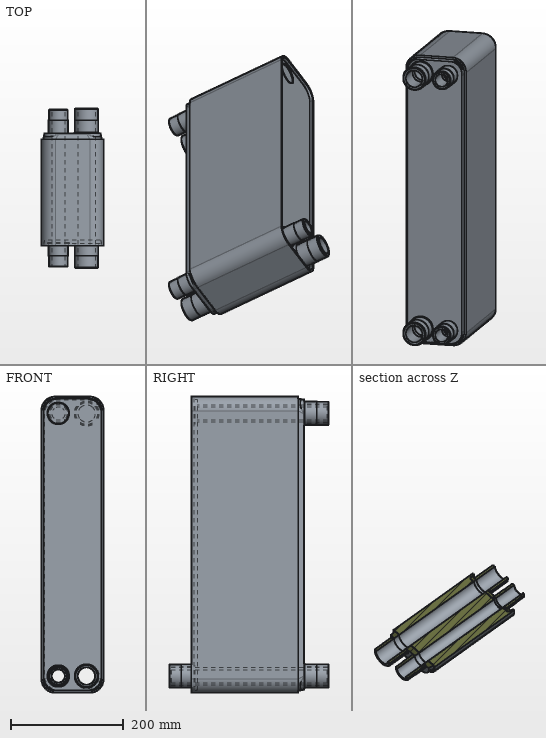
import cadquery as cq


PACK_WIDTH = 111.0
PACK_HEIGHT = 526.0
PACK_DEPTH = 189.5
PACK_CORNER_RADIUS = 25.0

SHOULDER_DEPTH = 10.5
SHOULDER_WIDE_INSET = 3.5
SHOULDER_TAPER = 1.85
SHOULDER_WIDE_RADIUS = PACK_CORNER_RADIUS - SHOULDER_WIDE_INSET
SHOULDER_NARROW_RADIUS = 25.0

FRONT_FACE = 4.5
REAR_FACE = PACK_DEPTH + SHOULDER_DEPTH
REAR_PLATE_THICKNESS = 7.0
REAR_PLATE_INSET = 5.0
REAR_PLATE_RADIUS = PACK_CORNER_RADIUS - REAR_PLATE_INSET

SMALL_PORT_X = -25.0
LARGE_PORT_X = 24.5
PORT_Z = 233.0

STAMP_DEPTH = 1.5
STAMP_DRAFT = 1.0
DIMPLE_RADIUS = 19.5
BOSS_RADIUS = 22.0

SMALL_BORE_RADIUS = 11.5
SMALL_BASE_RADIUS = 17.5
SMALL_STEP = 0.5
SMALL_END_RADIUS = SMALL_BASE_RADIUS - SMALL_STEP
SMALL_END_LENGTH = 19.5
LARGE_BORE_RADIUS = 15.0
LARGE_BASE_RADIUS = 21.0
LARGE_STEP = 0.1
LARGE_END_RADIUS = LARGE_BASE_RADIUS - LARGE_STEP
LARGE_END_LENGTH = 21.5
PIPE_CHAMFER = 1.5
PIPE_BASE_LENGTH = 22.5

FORWARD = -1
REARWARD = 1


def outline(inset, radius):
    """Rounded rectangle inset from the outline of the pack."""
    sketch = cq.Sketch().rect(PACK_WIDTH - 2 * inset, PACK_HEIGHT - 2 * inset)
    return sketch.vertices().fillet(radius)


def facing_rear(y):
    """Workplane at the given Y, with its normal toward the rear."""
    return cq.Workplane(cq.Plane(origin=(0, y, 0), xDir=(1, 0, 0), normal=(0, 1, 0)))


def slab(start_y, thickness, inset, radius):
    """Flat rounded plate that reaches rearward from start_y."""
    return facing_rear(start_y).placeSketch(outline(inset, radius)).extrude(thickness)


def shoulder(start_y):
    """Tapered shape that narrows toward the rear, cut back the most at its corners."""
    wide = outline(SHOULDER_WIDE_INSET, SHOULDER_WIDE_RADIUS)
    narrow = outline(SHOULDER_WIDE_INSET + SHOULDER_TAPER, SHOULDER_NARROW_RADIUS)
    narrow = narrow.moved(cq.Location(cq.Vector(0, 0, SHOULDER_DEPTH)))
    return facing_rear(start_y).placeSketch(wide, narrow).loft(ruled=True)


def cylinder(x, z, radius, start_y, length, direction=REARWARD):
    """Cylinder along Y."""
    start = cq.Vector(x, start_y, z)
    return cq.Workplane(cq.Solid.makeCylinder(radius, length, start, cq.Vector(0, direction, 0)))


def stamping(x, z, radius, start_y):
    """Shallow cone that narrows toward the rear."""
    start = cq.Vector(x, start_y, z)
    cone = cq.Solid.makeCone(radius, radius - STAMP_DRAFT, STAMP_DEPTH, start, cq.Vector(0, 1, 0))
    return cq.Workplane(cone)


def cut_bores(body, heights):
    """Cut the small bore at -X and the large bore at +X right through, at each given height."""
    start_y = -PIPE_BASE_LENGTH
    length = REAR_FACE + 2 * PIPE_BASE_LENGTH
    for z in heights:
        body = body.cut(cylinder(SMALL_PORT_X, z, SMALL_BORE_RADIUS, start_y, length))
        body = body.cut(cylinder(LARGE_PORT_X, z, LARGE_BORE_RADIUS, start_y, length))
    return body


def make_plate_pack():
    """Block of stacked plates, with a recess for the front cover."""
    block = slab(0, PACK_DEPTH, 0, PACK_CORNER_RADIUS).cut(shoulder(0))
    return cut_bores(block, (-PORT_Z, PORT_Z))


def make_front_cover():
    """Plate at the bottom of the front recess, dimpled at the small ports and closed at the top."""
    open_recess = slab(0, FRONT_FACE, 0, PACK_CORNER_RADIUS)
    cover = shoulder(0).cut(open_recess)
    for z in (-PORT_Z, PORT_Z):
        cover = cover.cut(stamping(SMALL_PORT_X, z, DIMPLE_RADIUS, FRONT_FACE))
    return cut_bores(cover, (-PORT_Z,))


def make_rear_cover():
    """Tapered shoulder joined to a flat plate, raised around the large ports."""
    plate_y = REAR_FACE - REAR_PLATE_THICKNESS
    plate = slab(plate_y, REAR_PLATE_THICKNESS, REAR_PLATE_INSET, REAR_PLATE_RADIUS)
    cover = shoulder(PACK_DEPTH).union(plate)
    for z in (-PORT_Z, PORT_Z):
        cover = cover.union(stamping(LARGE_PORT_X, z, BOSS_RADIUS, REAR_FACE))
    return cut_bores(cover, (-PORT_Z, PORT_Z))


def make_pipe(x, z, seat_y, step_y, direction, base_radius, end_radius, end_length, bore_radius):
    """Connection pipe with a step down to its chamfered end."""
    base_length = abs(step_y - seat_y)
    base = cylinder(x, z, base_radius, seat_y, base_length, direction)
    end = cylinder(x, z, end_radius, step_y, end_length, direction)
    end = end.faces(">Y" if direction == REARWARD else "<Y").chamfer(PIPE_CHAMFER)
    bore = cylinder(x, z, bore_radius, seat_y, base_length + end_length, direction)
    return base.union(end).cut(bore)


def make_small_pipe(z, seat_y, step_y, direction):
    """Pipe for a small port, at -X."""
    return make_pipe(
        SMALL_PORT_X, z, seat_y, step_y, direction,
        SMALL_BASE_RADIUS, SMALL_END_RADIUS, SMALL_END_LENGTH, SMALL_BORE_RADIUS,
    )


def make_large_pipe(z, seat_y, step_y, direction):
    """Pipe for a large port, at +X."""
    return make_pipe(
        LARGE_PORT_X, z, seat_y, step_y, direction,
        LARGE_BASE_RADIUS, LARGE_END_RADIUS, LARGE_END_LENGTH, LARGE_BORE_RADIUS,
    )


plate_pack = make_plate_pack()
front_cover = make_front_cover()
rear_cover = make_rear_cover()

front_step = FRONT_FACE - PIPE_BASE_LENGTH
rear_step = REAR_FACE + PIPE_BASE_LENGTH

small_pipes = [make_small_pipe(-PORT_Z, FRONT_FACE + STAMP_DEPTH, front_step, FORWARD)]
large_pipes = [make_large_pipe(-PORT_Z, FRONT_FACE, front_step, FORWARD)]
for port_z in (-PORT_Z, PORT_Z):
    small_pipes.append(make_small_pipe(port_z, REAR_FACE, rear_step, REARWARD))
    large_pipes.append(make_large_pipe(port_z, REAR_FACE + STAMP_DEPTH, rear_step, REARWARD))

result = cq.Compound.makeCompound(
    [
        plate_pack.val(),
        front_cover.val(),
        rear_cover.val(),
        *[pipe.val() for pipe in small_pipes],
        *[pipe.val() for pipe in large_pipes],
    ]
)